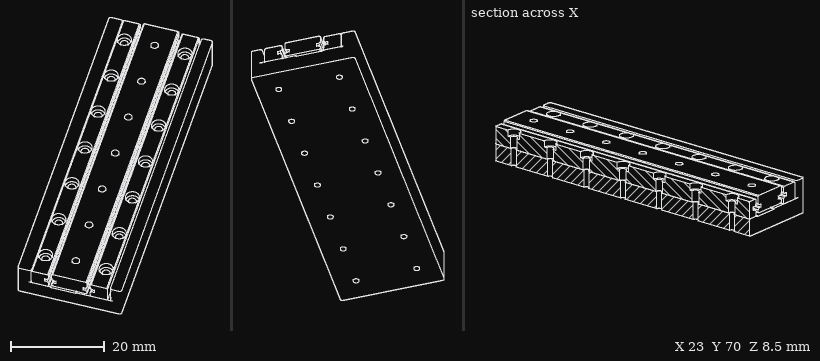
import cadquery as cq

LENGTH = 70.0
BASE_WIDTH = 23.0
BASE_HEIGHT = 8.0
TOTAL_HEIGHT = 8.5

RAIL_OUTER_X = 8.5
POCKET_FLOOR_Z = 4.0
POCKET_CLEARANCE = 0.55
CORNER_RADIUS = 0.5
RELIEF_LEFT_X = -4.2
RELIEF_RIGHT_X = 1.5
RELIEF_DEPTH = 0.2

SIDE_RAIL_INNER_X = 4.6
CENTER_RAIL_HALF_WIDTH = 3.9
CENTER_RAIL_BOTTOM_Z = 4.5
RAIL_CHAMFER = 0.2

GROOVE_Z = 5.95
GROOVE_MOUTH_HALF = 0.7
GROOVE_SLOT_HALF = 0.35
GROOVE_DEPTH = 0.9
GROOVE_V_DEPTH = GROOVE_MOUTH_HALF - GROOVE_SLOT_HALF

HOLE_COUNT = 7
HOLE_PITCH = 10.0
SIDE_HOLE_X = 6.7
COUNTERBORE_DIAMETER = 3.0
COUNTERBORE_DEPTH = 1.4
SIDE_HOLE_DIAMETER = 1.7
BASE_HOLE_DIAMETER = 1.25
CENTER_HOLE_DIAMETER = 1.6

HOLE_YS = [(i - (HOLE_COUNT - 1) / 2) * HOLE_PITCH for i in range(HOLE_COUNT)]


def bar(x_min, x_max, z_min, z_max):
    """Full-length rectangular bar along Y."""
    block = cq.Workplane("XY").box(x_max - x_min, LENGTH, z_max - z_min, centered=(False, True, False))
    return block.translate((x_min, 0, z_min))


def hole_row(x, diameter, z_min, z_max):
    """Row of vertical cylinders along Y, used as a cutter."""
    points = [(x, y) for y in HOLE_YS]
    plane = cq.Workplane("XY", origin=(0, 0, z_min))
    return plane.pushPoints(points).circle(diameter / 2).extrude(z_max - z_min)


def roller_groove(face_x, inward):
    """Full-length groove cutter in a face at face_x; inward (+1 or -1) points into the rail."""
    v_x = face_x + inward * GROOVE_V_DEPTH
    bottom_x = face_x + inward * GROOVE_DEPTH
    profile = [
        (face_x, GROOVE_Z + GROOVE_MOUTH_HALF),
        (v_x, GROOVE_Z + GROOVE_SLOT_HALF),
        (bottom_x, GROOVE_Z + GROOVE_SLOT_HALF),
        (bottom_x, GROOVE_Z - GROOVE_SLOT_HALF),
        (v_x, GROOVE_Z - GROOVE_SLOT_HALF),
        (face_x, GROOVE_Z - GROOVE_MOUTH_HALF),
    ]
    return cq.Workplane("XZ").polyline(profile).close().extrude(LENGTH / 2, both=True)


def make_base():
    """Channel-shaped base with rounded wall ends and a shallow relief in its floor."""
    base = bar(-BASE_WIDTH / 2, BASE_WIDTH / 2, 0, BASE_HEIGHT)
    pocket_right_x = RAIL_OUTER_X + POCKET_CLEARANCE
    base = base.cut(bar(-RAIL_OUTER_X, pocket_right_x, POCKET_FLOOR_Z, BASE_HEIGHT))
    base = base.edges("|Z").fillet(CORNER_RADIUS)
    base = base.cut(bar(RELIEF_LEFT_X, RELIEF_RIGHT_X, POCKET_FLOOR_Z - RELIEF_DEPTH, POCKET_FLOOR_Z))
    for side in (-1, 1):
        base = base.cut(hole_row(side * SIDE_HOLE_X, BASE_HOLE_DIAMETER, 0, POCKET_FLOOR_Z))
    return base


def make_side_rail(side):
    """Rail screwed to the pocket floor; side is -1 for left and +1 for right."""
    x_min, x_max = sorted((side * SIDE_RAIL_INNER_X, side * RAIL_OUTER_X))
    rail = bar(x_min, x_max, POCKET_FLOOR_Z, BASE_HEIGHT)
    rail = rail.faces(">Z").edges("|Y").chamfer(RAIL_CHAMFER)
    rail = rail.cut(roller_groove(side * SIDE_RAIL_INNER_X, side))
    rail = rail.cut(hole_row(side * SIDE_HOLE_X, SIDE_HOLE_DIAMETER, POCKET_FLOOR_Z, BASE_HEIGHT))
    counterbore_z = BASE_HEIGHT - COUNTERBORE_DEPTH
    return rail.cut(hole_row(side * SIDE_HOLE_X, COUNTERBORE_DIAMETER, counterbore_z, BASE_HEIGHT))


def make_center_rail():
    """Sliding rail held between the side rails, clear of the pocket floor."""
    rail = bar(-CENTER_RAIL_HALF_WIDTH, CENTER_RAIL_HALF_WIDTH, CENTER_RAIL_BOTTOM_Z, TOTAL_HEIGHT)
    rail = rail.edges("|Y").chamfer(RAIL_CHAMFER)
    for side in (-1, 1):
        rail = rail.cut(roller_groove(side * CENTER_RAIL_HALF_WIDTH, -side))
    return rail.cut(hole_row(0, CENTER_HOLE_DIAMETER, CENTER_RAIL_BOTTOM_Z, TOTAL_HEIGHT))


base = make_base()
side_rails = [make_side_rail(side) for side in (-1, 1)]
center_rail = make_center_rail()

result = cq.Compound.makeCompound([base.val(), *[rail.val() for rail in side_rails], center_rail.val()])